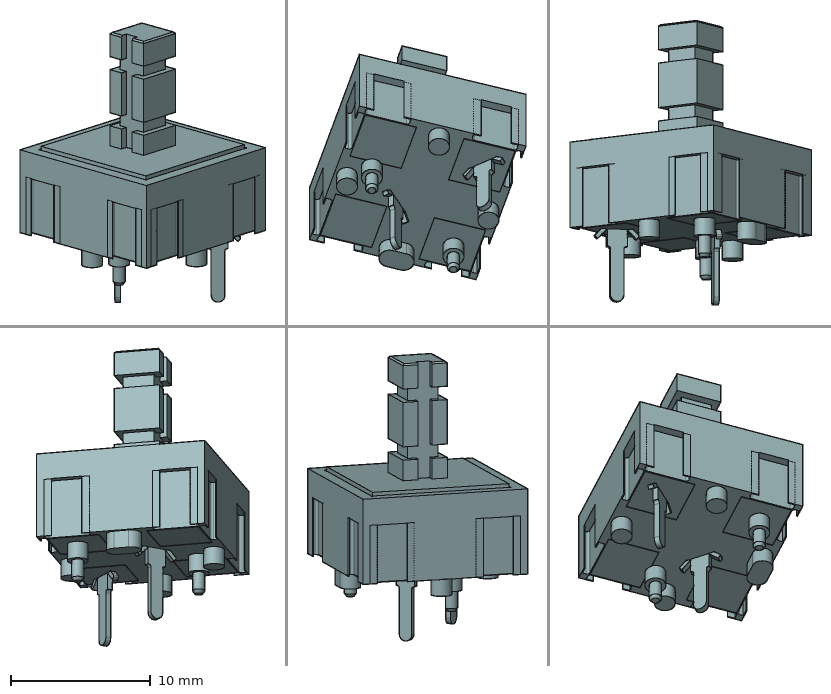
import cadquery as cq
import math


HOUSING_SIDE = 12.45
HOUSING_HEIGHT = 6.21
WINDOW_HEIGHT = 4.27
WINDOW_WIDTH = 2.25
WINDOW_OFFSET = 4.0
WINDOW_LIP = 0.08
WINDOW_DEPTH = 0.57
WINDOW_UNDERCUT = 0.55
WINDOW_ROUND = 0.2
POCKET_SIDE = 10.52
POCKET_DEPTH = 1.01
PAD_SIDE = 3.83
PAD_OFFSET = 3.68
PAD_HEIGHT = 0.05

FOOT_DIAMETER = 1.5
FOOT_LENGTH = 1.28
FOOT_OFFSET = 5.28
OBLONG_FOOT_LENGTH = 2.55
PEG_DIAMETER = 0.9
PEG_END = 2.81
PEG_CHAMFER_WIDTH = 0.172
PEG_CHAMFER_HEIGHT = 0.25

PLATE_SIDE = 10.28
PLATE_RISE = 0.25
STEM_SIDE = 3.34
NECK_SIDE = 2.29
NECK_LENGTH = 0.97
STEM_BASE_LENGTH = 1.5
STEM_MIDDLE_LENGTH = 3.24
STEM_TOP_CHAMFER = 0.12
KEYWAY_WIDTH = 1.05

TERMINAL_THICKNESS = 0.4
BLADE_WIDTH = 1.0
SHOULDER_WIDTH = 1.45
SHOULDER_END = FOOT_LENGTH
BLADE_END = 5.28
SHOULDER_FILLET = 0.2
TERMINAL_INSERTION = 1.01
BARB_WIDTH = 0.32
BARB_TIP_REACH = 1.42
BARB_TIP_DEPTH = 0.75
BARB_ROUND = 0.1

TOTAL_HEIGHT = 20.25

HALF_PITCH = 1.27
NEAR = HALF_PITCH
FAR = 3 * HALF_PITCH

PLATE_TOP = HOUSING_HEIGHT + PLATE_RISE
POCKET_FLOOR = HOUSING_HEIGHT - POCKET_DEPTH
STEM_TOP = TOTAL_HEIGHT - BLADE_END

PEG_PLACES = [(-FAR, FAR), (NEAR, -FAR)]
TERMINAL_PLACES = [(-NEAR, -NEAR, -45), (FAR, FAR, 45)]


def block(side_x, side_y, bottom, top):
    """A box centred on the Z axis between two heights."""
    return cq.Workplane("XY").workplane(offset=bottom).rect(side_x, side_y).extrude(top - bottom)


def make_foot(x, y):
    return cq.Workplane("XY").center(x, y).circle(FOOT_DIAMETER / 2).extrude(-FOOT_LENGTH)


def make_oblong_foot():
    return (
        cq.Workplane("XY")
        .center(-FOOT_OFFSET, 0)
        .slot2D(OBLONG_FOOT_LENGTH, FOOT_DIAMETER, 90)
        .extrude(-FOOT_LENGTH)
    )


def make_peg(x, y):
    """A foot with a thinner chamfered peg below it."""
    peg = cq.Workplane("XY").center(x, y).circle(PEG_DIAMETER / 2).extrude(-PEG_END)
    peg = peg.faces("<Z").edges().chamfer(PEG_CHAMFER_HEIGHT, PEG_CHAMFER_WIDTH)
    return make_foot(x, y).union(peg)


def make_window():
    """The space of one window in the -Y side: a mouth through a thin lip and a wider recess behind it."""
    recess_depth = WINDOW_DEPTH - WINDOW_LIP
    recess_width = WINDOW_WIDTH + 2 * WINDOW_UNDERCUT
    outside = -HOUSING_SIDE / 2
    mouth = block(WINDOW_WIDTH, WINDOW_LIP, 0, WINDOW_HEIGHT)
    mouth = mouth.translate((0, outside + WINDOW_LIP / 2, 0))
    recess = block(recess_width, recess_depth, 0, WINDOW_HEIGHT)
    recess = recess.edges("|Z and >Y").fillet(WINDOW_ROUND)
    recess = recess.translate((0, outside + WINDOW_LIP + recess_depth / 2, 0))
    return mouth.union(recess)


def make_housing():
    body = block(HOUSING_SIDE, HOUSING_SIDE, 0, HOUSING_HEIGHT)

    window = make_window()
    for turn in (0, 90, 180, 270):
        for offset in (-WINDOW_OFFSET, WINDOW_OFFSET):
            placed = window.translate((offset, 0, 0))
            body = body.cut(placed.rotate((0, 0, 0), (0, 0, 1), turn))

    pad = block(PAD_SIDE, PAD_SIDE, -PAD_HEIGHT, 0)
    for x in (-PAD_OFFSET, PAD_OFFSET):
        for y in (-PAD_OFFSET, PAD_OFFSET):
            body = body.union(pad.translate((x, y, 0)))

    body = body.cut(block(POCKET_SIDE, POCKET_SIDE, POCKET_FLOOR, HOUSING_HEIGHT))

    for x, y in [(0, -FOOT_OFFSET), (0, FOOT_OFFSET), (FOOT_OFFSET, 0)]:
        body = body.union(make_foot(x, y))
    body = body.union(make_oblong_foot())
    for x, y in PEG_PLACES:
        body = body.union(make_peg(x, y))
    return body


def make_plunger():
    plate = block(PLATE_SIDE, PLATE_SIDE, POCKET_FLOOR, PLATE_TOP)
    stem = block(STEM_SIDE, STEM_SIDE, PLATE_TOP, STEM_TOP)
    stem = stem.faces(">Z").edges().chamfer(STEM_TOP_CHAMFER)

    first_neck = PLATE_TOP + STEM_BASE_LENGTH
    second_neck = first_neck + NECK_LENGTH + STEM_MIDDLE_LENGTH
    for bottom in (first_neck, second_neck):
        top = bottom + NECK_LENGTH
        ring = block(STEM_SIDE, STEM_SIDE, bottom, top)
        stem = stem.cut(ring.cut(block(NECK_SIDE, NECK_SIDE, bottom, top)))

    keyway_depth = (STEM_SIDE - NECK_SIDE) / 2
    keyway = block(KEYWAY_WIDTH, keyway_depth, PLATE_TOP, STEM_TOP)
    stem = stem.cut(keyway.translate((0, -(NECK_SIDE + keyway_depth) / 2, 0)))
    return plate.union(stem)


def make_barb(side):
    """A bar sloping down and out at 45 degrees from the shoulder, with its outermost corner rounded."""
    across = BARB_WIDTH * math.sin(math.radians(45))
    rise = BARB_TIP_DEPTH + TERMINAL_INSERTION / 2
    points = [
        (BARB_TIP_REACH, -BARB_TIP_DEPTH),
        (BARB_TIP_REACH + across, across - BARB_TIP_DEPTH),
        (BARB_TIP_REACH + across - rise, across - BARB_TIP_DEPTH + rise),
        (BARB_TIP_REACH - rise, rise - BARB_TIP_DEPTH),
    ]
    barb = cq.Workplane("XZ").polyline(points).close().extrude(TERMINAL_THICKNESS / 2, both=True)
    barb = barb.edges(">X").fillet(BARB_ROUND)
    return barb if side > 0 else barb.mirror("YZ")


def make_terminal(x, y, turn):
    """A round-ended blade whose wide shoulder carries a barb on each edge."""
    blade_half = BLADE_WIDTH / 2
    shoulder_half = SHOULDER_WIDTH / 2
    fillet_outer = blade_half + SHOULDER_FILLET
    fillet_end = -SHOULDER_END - SHOULDER_FILLET
    tip_start = blade_half - BLADE_END
    blade = (
        cq.Workplane("XZ")
        .moveTo(-shoulder_half, TERMINAL_INSERTION)
        .lineTo(-shoulder_half, -SHOULDER_END)
        .lineTo(-fillet_outer, -SHOULDER_END)
        .tangentArcPoint((-blade_half, fillet_end), relative=False)
        .lineTo(-blade_half, tip_start)
        .threePointArc((0, -BLADE_END), (blade_half, tip_start))
        .lineTo(blade_half, fillet_end)
        .tangentArcPoint((fillet_outer, -SHOULDER_END), relative=False)
        .lineTo(shoulder_half, -SHOULDER_END)
        .lineTo(shoulder_half, TERMINAL_INSERTION)
        .close()
        .extrude(TERMINAL_THICKNESS / 2, both=True)
    )
    for side in (-1, 1):
        blade = blade.union(make_barb(side))
    return blade.rotate((0, 0, 0), (0, 0, 1), turn).translate((x, y, 0))


housing = make_housing()
plunger = make_plunger()
terminals = [make_terminal(x, y, turn) for x, y, turn in TERMINAL_PLACES]

for terminal in terminals:
    housing = housing.cut(terminal)

result = cq.Compound.makeCompound(
    [housing.val(), plunger.val()] + [terminal.val() for terminal in terminals]
)